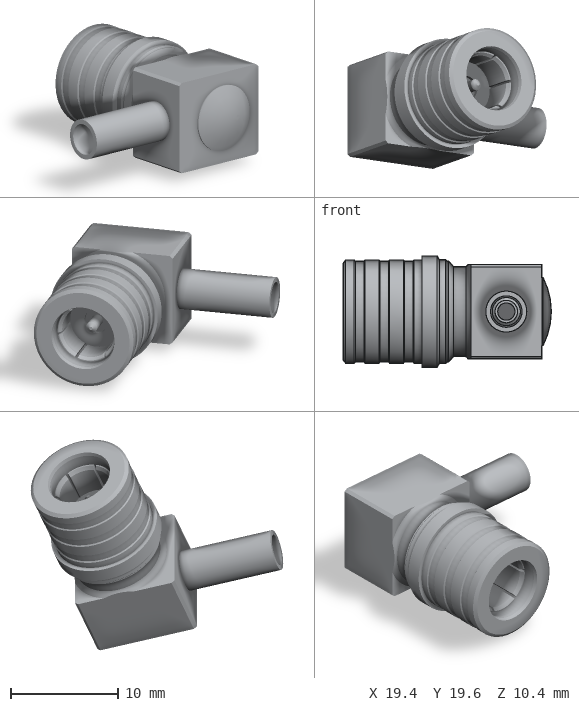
import cadquery as cq
import math


sleeve_dia = 9.65
sleeve_bore_dia = 5.91
mouth_dia = 6.1
mouth_depth = 0.35
nose_dia = 9.0
nose_length = 0.23
groove_dia = 9.42
groove_count = 3
groove_start = 1.04
groove_pitch = 2.3
groove_width = 1.02
groove_flank = 0.1
collar_dia = 10.42
collar_start = 7.36
collar_length = 1.4
collar_chamfer = 0.22
tail_dia = 9.71
tail_end = 9.55
tail_chamfer = 0.15
tail_step_end = 9.85
sleeve_end = 10.32

neck_dia = 8.38
flare_start = 11.45
block_start = 11.92
block_end = 18.55
block_top = 4.37
block_bottom = -5.4
block_height = 8.81
block_chamfer_y = 0.3
block_chamfer_z = 0.23
cap_dia = 6.35
cap_rim = 0.14
overall_length = 19.45

finger_dia = 5.74
finger_bore_dia = 5.05
finger_start = 1.5
finger_mouth_dia = 5.48
finger_mouth_length = 0.35
finger_floor = 4.7
slot_count = 6
slot_width = 0.25
slot_end = 5.0
slot_angle = 22.5
pin_dia = 1.05
pin_tip_dia = 0.31
pin_start = 2.75
pin_taper = 0.4
pin_recess_dia = 2.3
pin_recess_depth = 0.4

overall_width = 19.58
ferrule_x = (block_start + block_end) / 2
ferrule_dia = 3.82
ferrule_bore_dia = 2.94
ferrule_end = collar_dia / 2 - overall_width
stub_dia = 2.62
stub_tip_dia = 2.1
stub_bore_dia = 1.6
stub_inset = 3.92
stub_taper = 0.4


def turned(profile):
    """Revolve a closed (x, radius) outline about the connector axis."""
    return cq.Workplane("XY").polyline(profile).close().revolve(360, (0, 0, 0), (1, 0, 0))


def rod(diameter, start, end):
    """Cylinder on the connector axis between two X positions."""
    return cq.Workplane("YZ", origin=(start, 0, 0)).circle(diameter / 2).extrude(end - start)


def cable_rod(diameter, start, end):
    """Cylinder on the cable axis, from Y = start to the lower Y = end."""
    return cq.Workplane("XZ", origin=(ferrule_x, start, 0)).circle(diameter / 2).extrude(start - end)


def grip_groove(start):
    """Ring that cuts one shallow grip groove with sloping flanks."""
    end = start + groove_width
    return turned([
        (start, sleeve_dia / 2),
        (start + groove_flank, groove_dia / 2),
        (end - groove_flank, groove_dia / 2),
        (end, sleeve_dia / 2),
        (end, collar_dia / 2),
        (start, collar_dia / 2),
    ])


def make_sleeve():
    """Grooved sleeve with a collar and a tail that tapers to the neck."""
    collar_end = collar_start + collar_length
    sleeve = turned([
        (0, mouth_dia / 2),
        (0, nose_dia / 2),
        (nose_length, sleeve_dia / 2),
        (collar_start, sleeve_dia / 2),
        (collar_start, collar_dia / 2),
        (collar_end, collar_dia / 2),
        (collar_end + collar_chamfer, tail_dia / 2),
        (tail_end, tail_dia / 2),
        (tail_end + tail_chamfer, groove_dia / 2),
        (tail_step_end, groove_dia / 2),
        (sleeve_end, neck_dia / 2),
        (sleeve_end, sleeve_bore_dia / 2),
        (mouth_depth, sleeve_bore_dia / 2),
    ])
    for i in range(groove_count):
        sleeve = sleeve.cut(grip_groove(groove_start + i * groove_pitch))
    return sleeve


def block_prism(start, end):
    """Rectangular bar along X with its four long edges chamfered."""
    half_height = block_height / 2
    inner_top = block_top - block_chamfer_y
    inner_bottom = block_bottom + block_chamfer_y
    inner_half = half_height - block_chamfer_z
    return (
        cq.Workplane("YZ", origin=(start, 0, 0))
        .polyline([
            (inner_top, half_height),
            (block_top, inner_half),
            (block_top, -inner_half),
            (inner_top, -half_height),
            (inner_bottom, -half_height),
            (block_bottom, -inner_half),
            (block_bottom, inner_half),
            (inner_bottom, half_height),
        ])
        .close()
        .extrude(end - start)
    )


def make_block():
    """Block with the neck and a 45 degree flare trimmed by the block sides."""
    neck_radius = neck_dia / 2
    flare_radius = neck_radius + block_start - flare_start
    flare = turned([
        (flare_start, 0),
        (flare_start, neck_radius),
        (block_start, flare_radius),
        (block_start, 0),
    ]).intersect(block_prism(flare_start, block_start))
    neck = rod(neck_dia, sleeve_end, flare_start)
    return block_prism(block_start, block_end).union(flare).union(neck)


def make_cap():
    """Domed cap with a short cylindrical rim on the back of the block."""
    cap_radius = cap_dia / 2
    dome_start = block_end + cap_rim
    dome_height = overall_length - dome_start
    dome_radius = (cap_radius ** 2 + dome_height ** 2) / (2 * dome_height)
    half_angle = math.asin(cap_radius / dome_radius) / 2
    dome_middle = (
        overall_length - dome_radius * (1 - math.cos(half_angle)),
        dome_radius * math.sin(half_angle),
    )
    return (
        cq.Workplane("XY")
        .moveTo(block_end, 0)
        .lineTo(block_end, cap_radius)
        .lineTo(dome_start, cap_radius)
        .threePointArc(dome_middle, (overall_length, 0))
        .close()
        .revolve(360, (0, 0, 0), (1, 0, 0))
    )


def make_fingers():
    """Barrel inside the sleeve with a slotted wall, a flared mouth and a solid core."""
    barrel = rod(finger_dia, finger_start, sleeve_end)
    socket = turned([
        (finger_start, 0),
        (finger_start, finger_mouth_dia / 2),
        (finger_start + finger_mouth_length, finger_bore_dia / 2),
        (finger_floor, finger_bore_dia / 2),
        (finger_floor, 0),
    ])
    slot_length = slot_end - finger_start
    slot = cq.Workplane("XY").box(
        slot_length, slot_width, finger_dia, centered=(False, True, False)
    ).translate((finger_start, 0, 0))
    core = rod(finger_bore_dia, finger_floor, sleeve_end)
    fingers = barrel.cut(socket)
    for i in range(slot_count):
        turn = slot_angle + i * 360 / slot_count
        fingers = fingers.cut(slot.rotate((0, 0, 0), (1, 0, 0), turn))
    fingers = fingers.union(core)
    return fingers.cut(rod(pin_recess_dia, finger_floor, finger_floor + pin_recess_depth))


def make_pin():
    """Contact pin with a tapered tip, standing in the recess of the socket floor."""
    root = finger_floor + pin_recess_depth
    return turned([
        (pin_start, 0),
        (pin_start, pin_tip_dia / 2),
        (pin_start + pin_taper, pin_dia / 2),
        (root, pin_dia / 2),
        (root, 0),
    ])


def make_ferrule():
    """Tube on the block with a tapered, bored stub inside it."""
    stub_end = ferrule_end + stub_inset
    tube = cable_rod(ferrule_dia, block_bottom, ferrule_end)
    tube = tube.cut(cable_rod(ferrule_bore_dia, block_bottom, ferrule_end))
    stub = (
        cq.Workplane("XY")
        .polyline([
            (ferrule_x + stub_bore_dia / 2, block_bottom),
            (ferrule_x + stub_dia / 2, block_bottom),
            (ferrule_x + stub_dia / 2, stub_end + stub_taper),
            (ferrule_x + stub_tip_dia / 2, stub_end),
            (ferrule_x + stub_bore_dia / 2, stub_end),
        ])
        .close()
        .revolve(360, (ferrule_x, 0, 0), (ferrule_x, 1, 0))
    )
    return tube, stub


def make_body():
    """Right-angle body with its cap, spring fingers, pin, ferrule and stub."""
    body = make_block().union(make_cap())
    body = body.union(make_fingers()).union(make_pin())
    for part in make_ferrule():
        body = body.union(part)
    return body


sleeve = make_sleeve()
body = make_body()

result = cq.Compound.makeCompound([sleeve.val(), body.val()])